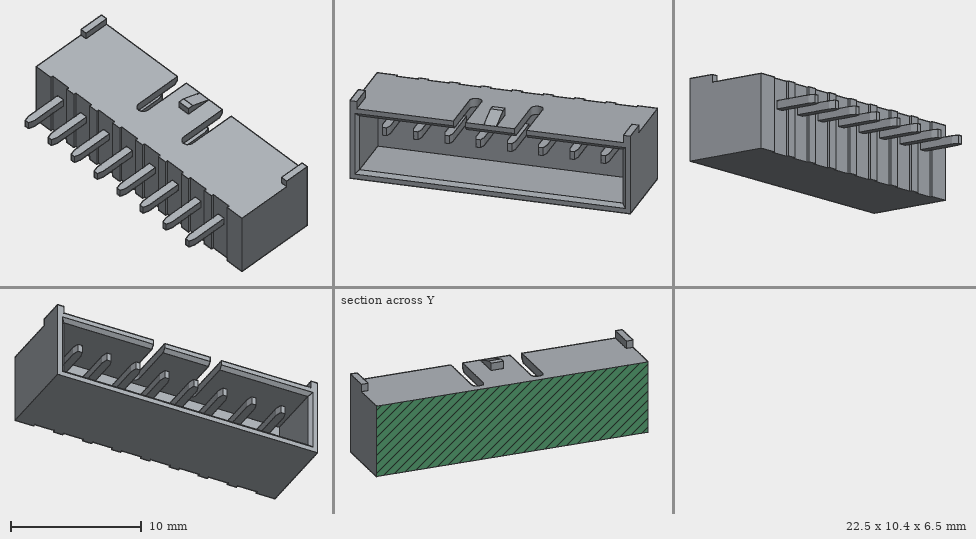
import cadquery as cq

length = 22.45
housing_depth = 6.99
housing_height = 5.88
overall_depth = 10.4
overall_height = 6.5
raised_height = overall_height - housing_height

wall = 0.7
cavity_depth = 4.95
mouth_bevel = 0.3

tab_width = 0.56
tab_depth = 2.2
latch_width = 1.0
latch_flat = 0.47

slot_width = 0.97
slot_depth = 4.6
slot_offset = 2.45

pin_count = 8
end_pin_margin = 2.47
pin_pitch = (length - 2 * end_pin_margin) / (pin_count - 1)
pin_width = 0.65
pin_height = 0.65
pin_center_height = 3.82
pin_taper = 0.5
pin_tip_width = 0.35
pin_setback = 0.99
recess_width = 1.7
recess_depth = 0.2

pin_positions = [(i - (pin_count - 1) / 2) * pin_pitch for i in range(pin_count)]


def block(width, depth, height, x=0, y_front=0, z=0):
    """Box centred on x, reaching from y_front towards -Y, standing on z."""
    return (
        cq.Workplane("XY")
        .box(width, depth, height, centered=(True, False, False))
        .translate((x, y_front - depth, z))
    )


def make_cavity():
    """Cavity cutter with a bevelled lead-in around the mouth."""
    cavity_length = length - 2 * wall
    cavity_height = housing_height - 2 * wall
    pocket = block(cavity_length, cavity_depth, cavity_height, z=wall)
    lead_in = (
        cq.Workplane("XZ", origin=(0, 0, housing_height / 2))
        .rect(cavity_length + 2 * mouth_bevel, cavity_height + 2 * mouth_bevel)
        .workplane(offset=mouth_bevel)
        .rect(cavity_length, cavity_height)
        .loft(ruled=True)
    )
    return pocket.union(lead_in)


def make_slot(x):
    """Round-ended cutter through the top wall, open at the mouth."""
    radius = slot_width / 2
    straight = slot_depth - radius
    return (
        cq.Workplane("XY", origin=(x, 0, housing_height / 2))
        .moveTo(-radius, 0)
        .lineTo(-radius, -straight)
        .threePointArc((0, -slot_depth), (radius, -straight))
        .lineTo(radius, 0)
        .close()
        .extrude(housing_height)
    )


def make_latch():
    """Latch bump that ramps up from the mouth edge to a flat crest."""
    return (
        cq.Workplane("YZ", origin=(-latch_width / 2, 0, housing_height))
        .polyline(
            [
                (0, 0),
                (-tab_depth + latch_flat, raised_height),
                (-tab_depth, raised_height),
                (-tab_depth, 0),
            ]
        )
        .close()
        .extrude(latch_width)
    )


def make_pin(x):
    """Straight pin whose two ends narrow in X only."""
    half = pin_width / 2
    half_tip = pin_tip_width / 2
    inner_end = -pin_setback
    outer_end = -overall_depth
    return (
        cq.Workplane("XY", origin=(x, 0, pin_center_height - pin_height / 2))
        .polyline(
            [
                (-half_tip, inner_end),
                (-half, inner_end - pin_taper),
                (-half, outer_end + pin_taper),
                (-half_tip, outer_end),
                (half_tip, outer_end),
                (half, outer_end + pin_taper),
                (half, inner_end - pin_taper),
                (half_tip, inner_end),
            ]
        )
        .close()
        .extrude(pin_height)
    )


housing = block(length, housing_depth, housing_height).cut(make_cavity())

for side in (-1, 1):
    housing = housing.cut(make_slot(side * slot_offset))
    tab_x = side * (length - tab_width) / 2
    housing = housing.union(block(tab_width, tab_depth, raised_height, x=tab_x, z=housing_height))

housing = housing.union(make_latch())

recess_front = -housing_depth + recess_depth
for x in pin_positions:
    housing = housing.cut(block(recess_width, recess_depth, housing_height, x=x, y_front=recess_front))
    housing = housing.union(make_pin(x))

result = housing